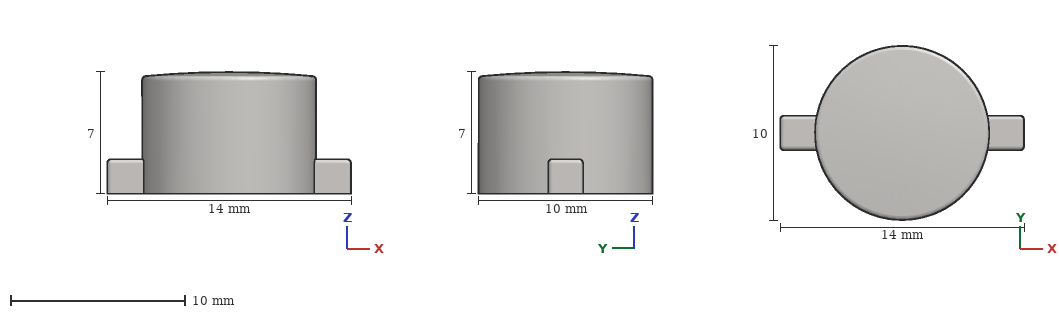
import cadquery as cq
import math

overall_length = 14.0
overall_height = 7.0
body_diameter = 10.0
tab_width = 2.0
tab_height = 2.0
dome_rise = 0.25
edge_radius = 0.25

body_radius = body_diameter / 2
shoulder_height = overall_height - dome_rise


def domed_body():
    """Round body with a shallow spherical top and a rounded rim."""
    sphere_radius = (body_radius**2 + dome_rise**2) / (2 * dome_rise)
    mid_radius = body_radius / 2
    sphere_center = overall_height - sphere_radius
    mid_height = sphere_center + math.sqrt(sphere_radius**2 - mid_radius**2)
    body = (
        cq.Workplane("XZ")
        .lineTo(body_radius, 0)
        .lineTo(body_radius, shoulder_height)
        .threePointArc((mid_radius, mid_height), (0, overall_height))
        .close()
        .revolve(360, (0, 0, 0), (0, 1, 0))
    )
    return body.faces(">Z").edges("<Z").fillet(edge_radius)


def tab_bar():
    """Bar through the body whose two ends form the side tabs."""
    bar = cq.Workplane("XY").box(
        overall_length, tab_width, tab_height, centered=(True, True, False)
    )
    return bar.edges("|Z or >Z").fillet(edge_radius)


result = domed_body().union(tab_bar())